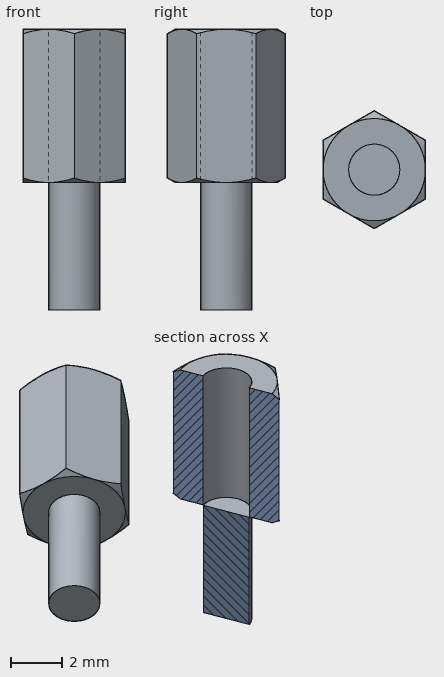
import cadquery as cq
import math

TOTAL_LENGTH = 11.0
HEX_LENGTH = 6.01
ACROSS_FLATS = 4.0
THREAD_DIAMETER = 2.0
CHAMFER_ANGLE = 30.0

STUD_LENGTH = TOTAL_LENGTH - HEX_LENGTH
ACROSS_CORNERS = ACROSS_FLATS / math.cos(math.radians(30))
FLAT_RADIUS = ACROSS_FLATS / 2
CORNER_RADIUS = ACROSS_CORNERS / 2
CORNER_DROP = (CORNER_RADIUS - FLAT_RADIUS) * math.tan(math.radians(CHAMFER_ANGLE))


def make_chamfer_envelope():
    """Turned blank whose conical ends trim the corners of the hexagon."""
    return (
        cq.Workplane("XZ")
        .moveTo(0, STUD_LENGTH)
        .lineTo(FLAT_RADIUS, STUD_LENGTH)
        .lineTo(CORNER_RADIUS, STUD_LENGTH + CORNER_DROP)
        .lineTo(CORNER_RADIUS, TOTAL_LENGTH - CORNER_DROP)
        .lineTo(FLAT_RADIUS, TOTAL_LENGTH)
        .lineTo(0, TOTAL_LENGTH)
        .close()
        .revolve(360, (0, 0, 0), (0, 1, 0))
    )


def make_hex_body():
    """Hexagonal spacer with corners on the Y axis and a through hole along Z."""
    hexagon = (
        cq.Workplane("XY")
        .workplane(offset=STUD_LENGTH)
        .transformed(rotate=(0, 0, 90))
        .polygon(6, ACROSS_CORNERS)
        .extrude(HEX_LENGTH)
    )
    hole = (
        cq.Workplane("XY")
        .workplane(offset=STUD_LENGTH)
        .circle(THREAD_DIAMETER / 2)
        .extrude(HEX_LENGTH)
    )
    return hexagon.intersect(make_chamfer_envelope()).cut(hole)


def make_stud():
    """Plain round stud whose top face closes the lower end of the hole."""
    return cq.Workplane("XY").circle(THREAD_DIAMETER / 2).extrude(STUD_LENGTH)


hex_body = make_hex_body()
stud = make_stud()

result = cq.Compound.makeCompound([hex_body.solids().val(), stud.val()])